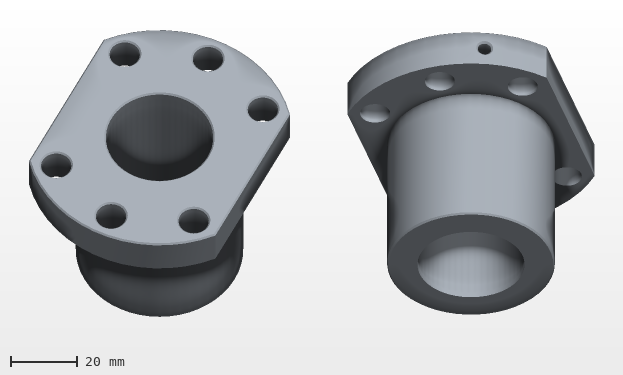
import cadquery as cq
import math

flange_diameter = 79.75
flange_width = 62.0
flange_thickness = 12.05

total_height = 57.0
body_diameter = 50.0
bore_diameter = 32.0

bolt_hole_diameter = 9.0
bolt_circle_diameter = 65.0
bolt_spacing = 45.0
bolt_angles = [side + step * bolt_spacing for side in (90.0, 270.0) for step in (-1, 0, 1)]
corner_hole_shift = 0.35
bolt_angles[-1] -= corner_hole_shift

oil_hole_diameter = 4.0
oil_hole_mouth_diameter = 5.2
oil_hole_angle = 90.0 + bolt_spacing / 2
radial_wall = (flange_diameter - bore_diameter) / 2
oil_hole_depth = radial_wall / 2

edge_chamfer = 0.5


def make_flange():
    disc = cq.Workplane("XY").circle(flange_diameter / 2).extrude(-flange_thickness)
    flats = cq.Workplane("XY").rect(flange_width, flange_diameter).extrude(-flange_thickness)
    return disc.intersect(flats).faces(">Z").chamfer(edge_chamfer)


def make_body():
    body = cq.Workplane("XY").circle(body_diameter / 2).extrude(-total_height)
    return body.faces("<Z").chamfer(edge_chamfer)


def make_countersink(diameter):
    """Cone that chamfers the upper edge of a vertical hole on the Z axis."""
    radius = diameter / 2
    return cq.Solid.makeCone(radius, radius + edge_chamfer, edge_chamfer, cq.Vector(0, 0, -edge_chamfer))


def make_bore():
    """Through bore, chamfered at the top."""
    bore = cq.Workplane("XY").circle(bore_diameter / 2).extrude(-total_height)
    return bore.union(cq.Workplane(make_countersink(bore_diameter)))


def make_bolt_hole(angle):
    """Through hole in the flange, chamfered at the top."""
    hole = cq.Workplane("XY").circle(bolt_hole_diameter / 2).extrude(-flange_thickness)
    hole = hole.union(cq.Workplane(make_countersink(bolt_hole_diameter)))
    x = bolt_circle_diameter / 2 * math.cos(math.radians(angle))
    y = bolt_circle_diameter / 2 * math.sin(math.radians(angle))
    return hole.translate((x, y, 0))


def make_oil_hole():
    """Blind radial hole with a 45 degree countersunk mouth, at mid flange thickness."""
    rim = flange_diameter / 2
    hole_radius = oil_hole_diameter / 2
    mouth_radius = oil_hole_mouth_diameter / 2
    mouth_depth = mouth_radius - hole_radius
    profile = (
        cq.Workplane("XZ")
        .moveTo(rim - oil_hole_depth, 0)
        .lineTo(rim - oil_hole_depth, hole_radius)
        .lineTo(rim - mouth_depth, hole_radius)
        .lineTo(rim, mouth_radius)
        .lineTo(rim, 0)
        .close()
    )
    hole = profile.revolve(360, (0, 0), (1, 0))
    hole = hole.rotate((0, 0, 0), (0, 0, 1), oil_hole_angle)
    return hole.translate((0, 0, -flange_thickness / 2))


result = make_flange().union(make_body()).cut(make_bore()).cut(make_oil_hole())
for bolt_angle in bolt_angles:
    result = result.cut(make_bolt_hole(bolt_angle))